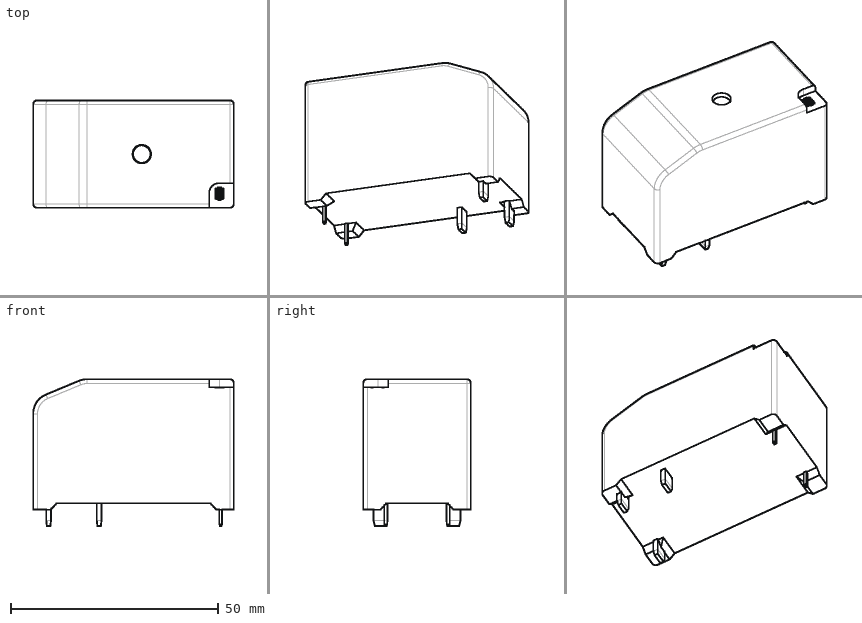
import cadquery as cq

LENGTH = 48.5
WIDTH = 26.0
HEIGHT = 31.5
EDGE_RADIUS = 1.0

SLOPE_RUN = 12.0
SLOPE_DROP = 5.0
BEND_RADIUS = 5.0

NOTCH_HEIGHT = 1.5
NOTCH_FLARE = 1.4
FOOT_LENGTH = 4.3
FOOT_WIDTH = 4.2

DIMPLE_X = 26.25
DIMPLE_DIAMETER = 4.5
DIMPLE_DEPTH = 1.1
DIMPLE_DRAFT = 8.0

RECESS_SIZE = 6.0
RECESS_DEPTH = 2.0
RECESS_CORNER_RADIUS = 2.5
VENT_REAR_INSET = 3.5
VENT_SIDE_INSET = 3.45
VENT_X = LENGTH - VENT_REAR_INSET
VENT_Y = VENT_SIDE_INSET - WIDTH / 2
VENT_DIAMETER = 3.1
VENT_SLOT_COUNT = 4
VENT_SLOT_WIDTH = 0.25
VENT_SLOT_PITCH = 0.62
VENT_SLOT_DEPTH = 0.5

PIN_LENGTH = 4.0
CONTACT_PIN_THICKNESS = 1.2
CONTACT_PIN_WIDTH = 3.5
CONTACT_TIP_LENGTH = 1.4
CONTACT_TIP_THICKNESS = 0.9
CONTACT_TIP_WIDTH = 2.8
CONTACT_ROW_Y = 8.8
END_CONTACT_X = 3.75
MIDDLE_CONTACT_X = 15.95
COIL_PIN_SIZE = 0.7
COIL_TIP_LENGTH = 0.5
COIL_TIP_SIZE = 0.35
COIL_PIN_X = 45.3
COIL_ROW_Y = 7.5


def make_block():
    """Housing block with the sloped end, rounded all along its sides and rear except underneath."""
    profile = [
        (0, 0),
        (LENGTH, 0),
        (LENGTH, HEIGHT),
        (SLOPE_RUN, HEIGHT),
        (0, HEIGHT - SLOPE_DROP),
    ]
    block = cq.Workplane("XZ").polyline(profile).close().extrude(WIDTH / 2, both=True)
    wall_bend = cq.selectors.NearestToPointSelector((0, 0, HEIGHT - SLOPE_DROP))
    roof_bend = cq.selectors.NearestToPointSelector((SLOPE_RUN, 0, HEIGHT))
    block = block.edges(wall_bend).fillet(BEND_RADIUS)
    block = block.edges(roof_bend).fillet(BEND_RADIUS)
    return block.faces("<Y or >Y or >X").edges("not <Z").fillet(EDGE_RADIUS)


def make_notch(plane, start, end, half_depth):
    """Trapezoidal notch along the plane normal, narrowing upward from the underside."""
    profile = [
        (start, 0),
        (start + NOTCH_FLARE, NOTCH_HEIGHT),
        (end - NOTCH_FLARE, NOTCH_HEIGHT),
        (end, 0),
    ]
    return cq.Workplane(plane).polyline(profile).close().extrude(half_depth, both=True)


def make_dimple():
    roof = cq.Workplane("XY", origin=(DIMPLE_X, 0, HEIGHT))
    return roof.circle(DIMPLE_DIAMETER / 2).extrude(-DIMPLE_DEPTH, taper=DIMPLE_DRAFT)


def make_recess():
    """Corner recess, open to the side and rear, with its inner corner rounded."""
    corner = cq.Workplane("XY", origin=(LENGTH, -WIDTH / 2, HEIGHT - RECESS_DEPTH))
    recess = corner.rect(2 * RECESS_SIZE, 2 * RECESS_SIZE).extrude(RECESS_DEPTH)
    return recess.edges("|Z").fillet(RECESS_CORNER_RADIUS)


def make_vent_slots():
    """Parallel slots whose ends follow a circle, sunk into the recess floor."""
    floor = cq.Workplane("XY", origin=(VENT_X, VENT_Y, HEIGHT - RECESS_DEPTH))
    middle = (VENT_SLOT_COUNT - 1) / 2
    centres = [((i - middle) * VENT_SLOT_PITCH, 0) for i in range(VENT_SLOT_COUNT)]
    slots = floor.pushPoints(centres).rect(VENT_SLOT_WIDTH, VENT_DIAMETER).extrude(-VENT_SLOT_DEPTH)
    return slots.intersect(floor.circle(VENT_DIAMETER / 2).extrude(-VENT_SLOT_DEPTH))


def make_pin(x, y, base_size, tip_size, tip_length):
    """Pin from the notch ceiling down to its tip; sizes are (X, Y) pairs."""
    shank_end = tip_length - PIN_LENGTH
    shank = (
        cq.Workplane("XY", origin=(x, y, shank_end))
        .rect(*base_size)
        .extrude(NOTCH_HEIGHT - shank_end)
    )
    tip = (
        cq.Workplane("XY", origin=(x, y, shank_end))
        .rect(*base_size)
        .workplane(offset=-tip_length)
        .rect(*tip_size)
        .loft(ruled=True)
    )
    return shank.union(tip)


def make_contact_pin(x, y):
    base_size = (CONTACT_PIN_THICKNESS, CONTACT_PIN_WIDTH)
    tip_size = (CONTACT_TIP_THICKNESS, CONTACT_TIP_WIDTH)
    return make_pin(x, y, base_size, tip_size, CONTACT_TIP_LENGTH)


def make_coil_pin(x, y):
    base_size = (COIL_PIN_SIZE, COIL_PIN_SIZE)
    tip_size = (COIL_TIP_SIZE, COIL_TIP_SIZE)
    return make_pin(x, y, base_size, tip_size, COIL_TIP_LENGTH)


pins = [make_contact_pin(MIDDLE_CONTACT_X, -CONTACT_ROW_Y)]
for side in (-1, 1):
    pins.append(make_contact_pin(END_CONTACT_X, side * CONTACT_ROW_Y))
    pins.append(make_coil_pin(COIL_PIN_X, side * COIL_ROW_Y))

housing = make_block()
housing = housing.cut(make_notch("XZ", FOOT_LENGTH, LENGTH - FOOT_LENGTH, WIDTH))
housing = housing.cut(make_notch("YZ", FOOT_WIDTH - WIDTH / 2, WIDTH / 2 - FOOT_WIDTH, LENGTH))
housing = housing.cut(make_dimple())
housing = housing.cut(make_recess())
housing = housing.cut(make_vent_slots())

for pin in pins:
    housing = housing.cut(pin)

result = cq.Compound.makeCompound([housing.val(), *[pin.val() for pin in pins]])